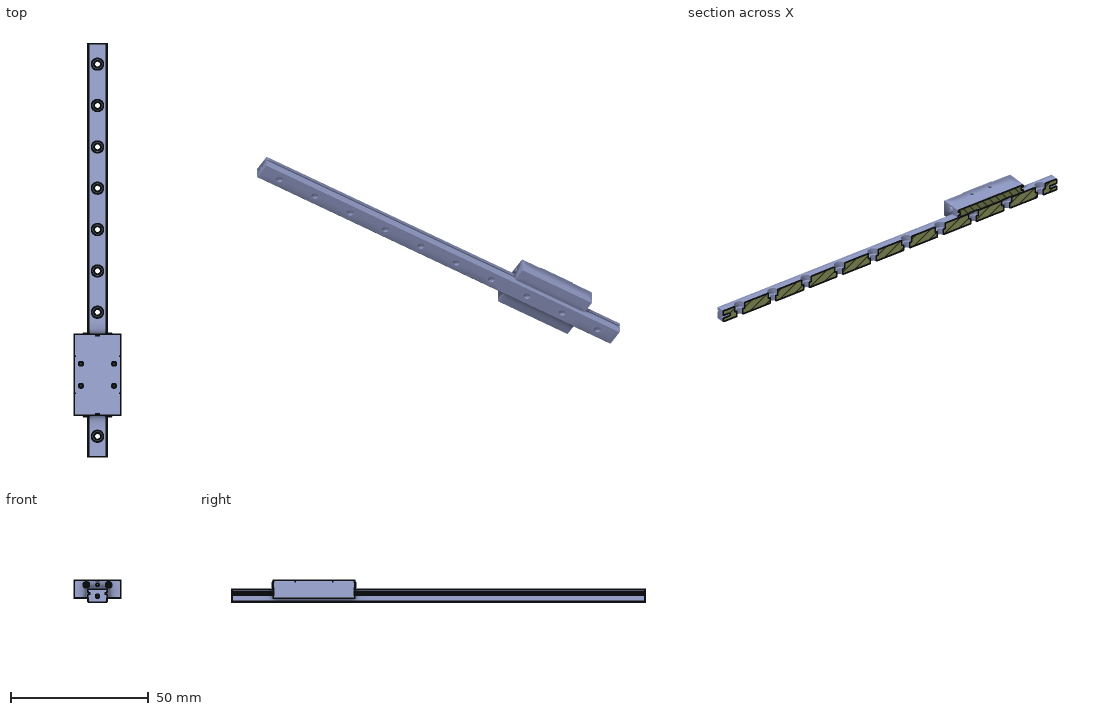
import cadquery as cq
import math

RAIL_LENGTH = 150.0
RAIL_WIDTH = 7.0
RAIL_HEIGHT = 4.8
RAIL_BOTTOM_CHAMFER = 0.4
RAIL_TOP_CHAMFER = 0.25

GROOVE_HEIGHT = 3.2
GROOVE_MOUTH = 1.4
GROOVE_FLARE_DEPTH = 0.25
GROOVE_SLOT = 0.5
GROOVE_DEPTH = 0.7

MOUNT_PITCH = 15.0
MOUNT_COUNT = 10
MOUNT_BORE = 2.4
MOUNT_HEAD_BORE = 4.2
MOUNT_HEAD_DEPTH = 2.3

END_HOLE_DIAMETER = 1.0
END_HOLE_DEPTH = 3.0
END_HOLE_HEIGHT = 2.2

CARRIAGE_WIDTH = 17.0
CARRIAGE_TOP = 8.0
CARRIAGE_BOTTOM = 1.5
CARRIAGE_CENTER = 29.8
BLOCK_LENGTH = 13.5
SPACER_LENGTH = 3.5
CAP_LENGTH = 3.6
SEAL_LENGTH = 0.9
END_FILLET = 0.5

TAP_DIAMETER = 1.2
TAP_DEPTH = 2.0
TAP_SPACING_X = 12.0
TAP_SPACING_Y = 8.0

SCREW_HEAD_DIAMETER = 2.2
SCREW_HEAD_HEIGHT = 0.4
SCREW_HEAD_CHAMFER = 0.25
SCREW_SOCKET_SIZE = 0.9
SCREW_SPACING = 8.1
SCREW_HEIGHT = 6.3

LUBE_HOLE_DIAMETER = 1.1
LUBE_HOLE_HEIGHT = 6.4
SEAL_SLOT_LENGTH = 1.4
SEAL_SLOT_WIDTH = 0.4
SEAL_SLOT_DEPTH = 0.2

HOLE_CHAMFER = 0.2
DRILL_POINT_ANGLE = 118.0

half_length = BLOCK_LENGTH / 2 + SPACER_LENGTH + CAP_LENGTH + SEAL_LENGTH


def drill(diameter, depth):
    """Blind hole going down from the origin, with a chamfered mouth and a conical bottom."""
    radius = diameter / 2
    tip = radius / math.tan(math.radians(DRILL_POINT_ANGLE / 2))
    outline = cq.Workplane("XZ").polyline([
        (0, 0),
        (radius + HOLE_CHAMFER, 0),
        (radius, -HOLE_CHAMFER),
        (radius, -depth),
        (0, -depth - tip),
    ])
    return outline.close().revolve(360, (0, 0), (0, 1))


def rail_outline():
    """Right half of the rail's section, without its centre line."""
    side = RAIL_WIDTH / 2
    flare = side - GROOVE_FLARE_DEPTH
    floor = side - GROOVE_DEPTH
    return [
        (0, 0),
        (side - RAIL_BOTTOM_CHAMFER, 0),
        (side, RAIL_BOTTOM_CHAMFER),
        (side, GROOVE_HEIGHT - GROOVE_MOUTH / 2),
        (flare, GROOVE_HEIGHT - GROOVE_SLOT / 2),
        (floor, GROOVE_HEIGHT - GROOVE_SLOT / 2),
        (floor, GROOVE_HEIGHT + GROOVE_SLOT / 2),
        (flare, GROOVE_HEIGHT + GROOVE_SLOT / 2),
        (side, GROOVE_HEIGHT + GROOVE_MOUTH / 2),
        (side, RAIL_HEIGHT - RAIL_TOP_CHAMFER),
        (side - RAIL_TOP_CHAMFER, RAIL_HEIGHT),
        (0, RAIL_HEIGHT),
    ]


def rail_bar():
    """Plain rail, without its holes."""
    return cq.Workplane("XZ").polyline(rail_outline()).mirrorY().extrude(-RAIL_LENGTH)


def make_rail():
    mounts = [(0, MOUNT_PITCH * (i + 0.5)) for i in range(MOUNT_COUNT)]
    rail = (
        rail_bar().faces(">Z").workplane(origin=(0, 0, RAIL_HEIGHT)).pushPoints(mounts)
        .cboreHole(MOUNT_BORE, MOUNT_HEAD_BORE, MOUNT_HEAD_DEPTH)
    )
    end_hole = drill(END_HOLE_DIAMETER, END_HOLE_DEPTH)
    front_hole = end_hole.rotate((0, 0, 0), (1, 0, 0), 90).translate((0, 0, END_HOLE_HEIGHT))
    back_hole = front_hole.mirror("XZ").translate((0, RAIL_LENGTH, 0))
    return rail.cut(front_hole).cut(back_hole)


def slab(length, start):
    """Full carriage section, running along +Y from start."""
    height = CARRIAGE_TOP - CARRIAGE_BOTTOM
    box = cq.Workplane("XY").box(CARRIAGE_WIDTH, length, height, centered=(True, False, False))
    return box.translate((0, start, CARRIAGE_BOTTOM))


def make_block():
    block = slab(BLOCK_LENGTH, -BLOCK_LENGTH / 2)
    tap = drill(TAP_DIAMETER, TAP_DEPTH)
    for x in (-TAP_SPACING_X / 2, TAP_SPACING_X / 2):
        for y in (-TAP_SPACING_Y / 2, TAP_SPACING_Y / 2):
            block = block.cut(tap.translate((x, y, CARRIAGE_TOP)))
    return block


def make_screw_head():
    """Socket screw head standing on Z = 0."""
    head = cq.Workplane("XY").circle(SCREW_HEAD_DIAMETER / 2).extrude(SCREW_HEAD_HEIGHT)
    head = head.faces(">Z").chamfer(SCREW_HEAD_CHAMFER)
    return head.cut(cq.Workplane("XY").polygon(6, SCREW_SOCKET_SIZE).extrude(SCREW_HEAD_HEIGHT))


def make_seal():
    seal = slab(SEAL_LENGTH, -half_length).faces(">Z").edges("|Y").fillet(END_FILLET)
    lube_hole = cq.Workplane("XZ", origin=(0, -half_length, LUBE_HOLE_HEIGHT))
    seal = seal.cut(lube_hole.circle(LUBE_HOLE_DIAMETER / 2).extrude(-SEAL_LENGTH))
    top_slot = cq.Workplane("XY", origin=(0, SEAL_LENGTH / 2 - half_length, CARRIAGE_TOP))
    seal = seal.cut(top_slot.slot2D(SEAL_SLOT_LENGTH, SEAL_SLOT_WIDTH).extrude(-SEAL_SLOT_DEPTH))
    head = make_screw_head().rotate((0, 0, 0), (1, 0, 0), 90)
    for x in (-SCREW_SPACING / 2, SCREW_SPACING / 2):
        seal = seal.union(head.translate((x, -half_length, SCREW_HEIGHT)))
    return seal


def make_carriage():
    """Block with its end parts joined on; the seams between the parts are kept as edges."""
    carriage = make_block()
    spacer = slab(SPACER_LENGTH, -BLOCK_LENGTH / 2 - SPACER_LENGTH)
    cap = slab(CAP_LENGTH, SEAL_LENGTH - half_length)
    for part in (
        spacer.faces(">Z").edges("|Y").fillet(END_FILLET),
        cap.faces(">Z").edges("|Y").fillet(END_FILLET),
        make_seal(),
    ):
        carriage = carriage.union(part, clean=False).union(part.mirror("XZ"), clean=False)
    carriage = carriage.translate((0, CARRIAGE_CENTER, 0))
    return carriage.cut(rail_bar(), clean=False)


rail = make_rail()
carriage = make_carriage()
result = cq.Compound.makeCompound([rail.val(), carriage.val()])